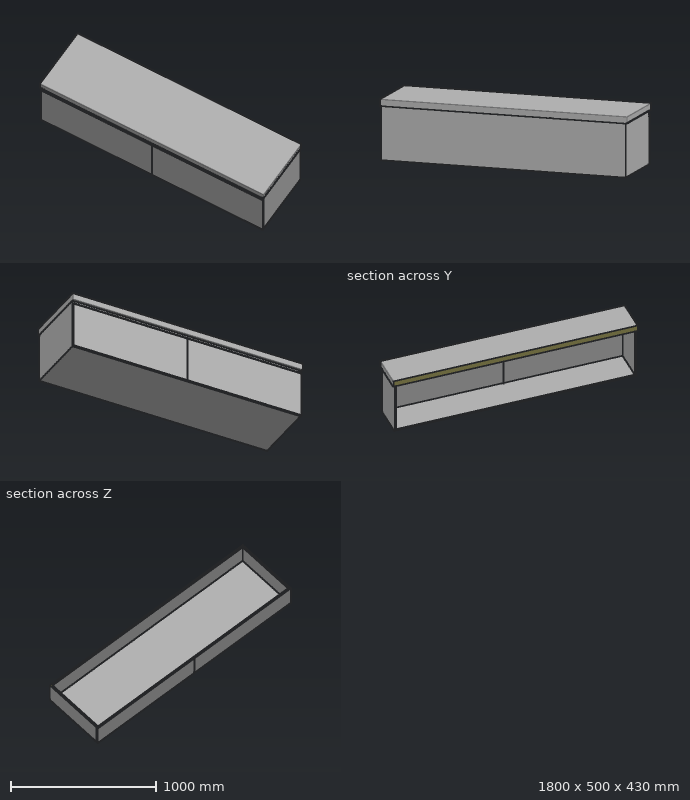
import cadquery as cq

total_width = 1800.0
total_depth = 500.0
total_height = 430.0

top_thickness = 50.0
top_side_overhang = 7.5
top_edge_radius = 1.0

board = 16.0
front_setback = 4.0
carcass_front = front_setback + board
carcass_width = total_width - 2 * top_side_overhang
carcass_depth = total_depth - carcass_front
carcass_height = total_height - top_thickness
inside_width = carcass_width - 2 * board

finger_gap = 30.0
center_gap = 3.0
finger_bevel = 10.0
front_width = (carcass_width - center_gap) / 2
front_height = carcass_height - finger_gap

rail_height = 80.0


def box(width, depth, height, center_x, front_y, bottom_z):
    """Box centred on center_x, reaching back from front_y and up from bottom_z."""
    return (
        cq.Workplane("XY")
        .box(width, depth, height, centered=(True, False, False))
        .translate((center_x, front_y, bottom_z))
    )


def make_worktop():
    slab = box(total_width, total_depth, top_thickness, 0, 0, carcass_height)
    return slab.edges().fillet(top_edge_radius)


def make_carcass():
    outside = box(carcass_width, carcass_depth, carcass_height, 0, carcass_front, 0)
    inside = box(inside_width, carcass_depth - board, carcass_height - board, 0, carcass_front, board)
    return outside.cut(inside)


def make_rail():
    return box(inside_width, board, rail_height, 0, carcass_front, carcass_height - rail_height)


def make_drawer_front(side):
    """Drawer front on the left (side = -1) or right (side = 1), bevelled along its upper rear edge."""
    center_x = side * (front_width + center_gap) / 2
    panel = box(front_width, board, front_height, center_x, front_setback, 0)
    return panel.faces(">Z").edges(">Y").chamfer(finger_bevel)


worktop = make_worktop()
carcass = make_carcass()
rail = make_rail()
drawer_fronts = [make_drawer_front(side) for side in (-1, 1)]

result = cq.Compound.makeCompound(
    [
        worktop.val(),
        carcass.val(),
        rail.val(),
        *[drawer_front.val() for drawer_front in drawer_fronts],
    ]
)